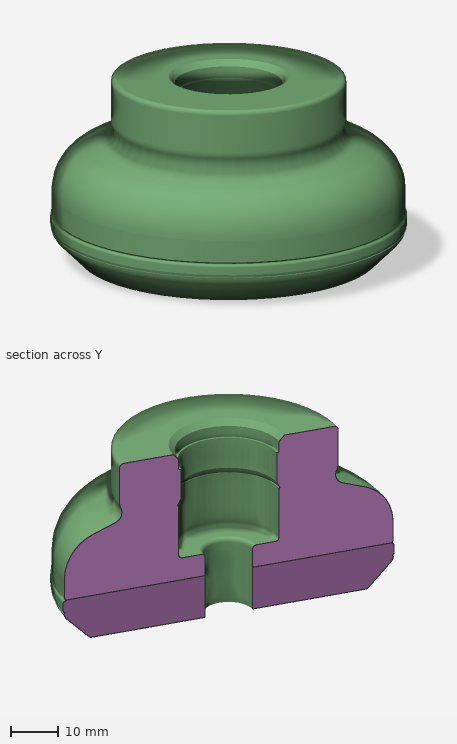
import cadquery as cq
import math

total_height = 40.0
base_radius = 37.9
joint_height = 9.85
hole_radius = 5.4

body_radius = 37.6
body_bottom_chamfer = 0.4
shoulder_start = 15.0
shoulder_round = 10.0
shoulder_slope = math.radians(20)
waist_radius = 24.5
waist_round = 2.3
head_radius = 25.0
head_bottom_round = 2.995
head_top_round = 1.0

bore_radius = 11.45
bore_mouth_chamfer = 1.3
lip_radius = 10.9
lip_top_depth = 3.8
lip_bottom_depth = 10.9
undercut_radius = 11.7
undercut_depth = 12.4
floor_height = 15.2
floor_round = 0.8
hole_edge_round = 0.9

base_top_round = 0.7
band_bottom = 7.5
skirt_slope = math.radians(20)
groove_top = 7.05
groove_bottom = 6.8
groove_radius = 37.5
skirt_radius = 37.85
skirt_end = 6.4
skirt_round = 2.995
underside_slope = math.radians(45)
bottom_edge_round = 0.75


def on_circle(center, radius, angle):
    """Point (radius, height) on a circle in the half-section plane."""
    return (center[0] + radius * math.cos(angle), center[1] + radius * math.sin(angle))


def add_arc(profile, center, radius, start, end):
    """Continue the profile with an arc; the profile must already be at its start."""
    middle = on_circle(center, radius, (start + end) / 2)
    return profile.threePointArc(middle, on_circle(center, radius, end))


def turn(profile):
    """Close a half section and revolve it about the Z axis."""
    return profile.close().revolve(360, (0, 0, 0), (0, 1, 0))


def housing_blank():
    quarter = math.pi / 2
    shoulder_center = (body_radius - shoulder_round, shoulder_start)
    shoulder_end = quarter - shoulder_slope
    shoulder_top = on_circle(shoulder_center, shoulder_round, shoulder_end)

    waist_center_radius = waist_radius + waist_round
    slope_top_radius = waist_center_radius - waist_round * math.sin(shoulder_slope)
    slope_top_height = shoulder_top[1] + (shoulder_top[0] - slope_top_radius) * math.tan(shoulder_slope)
    waist_center = (waist_center_radius, slope_top_height + waist_round * math.cos(shoulder_slope))

    arc_sum = waist_round + head_bottom_round
    flare = math.acos(1 - (head_radius - waist_radius) / arc_sum)
    head_center = (head_radius - head_bottom_round, waist_center[1] + arc_sum * math.sin(flare))

    profile = (
        cq.Workplane("XZ")
        .moveTo(0, joint_height)
        .lineTo(body_radius - body_bottom_chamfer, joint_height)
        .lineTo(body_radius, joint_height + body_bottom_chamfer)
        .lineTo(body_radius, shoulder_start)
    )
    profile = add_arc(profile, shoulder_center, shoulder_round, 0, shoulder_end)
    profile = profile.lineTo(slope_top_radius, slope_top_height)
    profile = add_arc(profile, waist_center, waist_round, math.pi + shoulder_end, math.pi - flare)
    profile = add_arc(profile, head_center, head_bottom_round, -flare, 0)
    profile = profile.lineTo(head_radius, total_height - head_top_round)
    top_center = (head_radius - head_top_round, total_height - head_top_round)
    profile = add_arc(profile, top_center, head_top_round, 0, quarter)
    return turn(profile.lineTo(0, total_height))


def housing_bore():
    lip_top = total_height - lip_top_depth
    lip_bottom = total_height - lip_bottom_depth
    undercut_height = total_height - undercut_depth
    floor_center = (bore_radius - floor_round, floor_height + floor_round)
    edge_center = (hole_radius + hole_edge_round, floor_height - hole_edge_round)
    quarter = math.pi / 2

    profile = (
        cq.Workplane("XZ")
        .moveTo(0, total_height)
        .lineTo(bore_radius + bore_mouth_chamfer, total_height)
        .lineTo(bore_radius, total_height - bore_mouth_chamfer)
        .lineTo(bore_radius, lip_top)
        .lineTo(lip_radius, lip_top)
        .lineTo(lip_radius, lip_bottom)
        .lineTo(undercut_radius, undercut_height)
        .lineTo(bore_radius, undercut_height)
        .lineTo(bore_radius, floor_center[1])
    )
    profile = add_arc(profile, floor_center, floor_round, 0, -quarter)
    profile = profile.lineTo(edge_center[0], floor_height)
    profile = add_arc(profile, edge_center, hole_edge_round, quarter, math.pi)
    return turn(profile.lineTo(hole_radius, joint_height).lineTo(0, joint_height))


def make_housing():
    return housing_blank().cut(housing_bore())


def make_base():
    quarter = math.pi / 2
    top_center = (base_radius - base_top_round, joint_height - base_top_round)
    band_end_radius = base_radius - (band_bottom - groove_top) * math.tan(skirt_slope)
    skirt_end_radius = skirt_radius - (groove_bottom - skirt_end) * math.tan(skirt_slope)

    skirt_center = (
        skirt_end_radius - skirt_round * math.cos(skirt_slope),
        skirt_end + skirt_round * math.sin(skirt_slope),
    )
    cone_top = on_circle(skirt_center, skirt_round, -underside_slope)

    cone_foot_radius = cone_top[0] - cone_top[1] / math.tan(underside_slope)
    edge_setback = bottom_edge_round * math.tan((quarter - underside_slope) / 2)
    edge_center = (cone_foot_radius - edge_setback, bottom_edge_round)
    edge_top = on_circle(edge_center, bottom_edge_round, -underside_slope)

    profile = (
        cq.Workplane("XZ")
        .moveTo(hole_radius, joint_height)
        .lineTo(top_center[0], joint_height)
    )
    profile = add_arc(profile, top_center, base_top_round, quarter, 0)
    profile = (
        profile.lineTo(base_radius, band_bottom)
        .lineTo(band_end_radius, groove_top)
        .lineTo(groove_radius, groove_top)
        .lineTo(groove_radius, groove_bottom)
        .lineTo(skirt_radius, groove_bottom)
        .lineTo(skirt_end_radius, skirt_end)
    )
    profile = add_arc(profile, skirt_center, skirt_round, -skirt_slope, -underside_slope)
    profile = profile.lineTo(*edge_top)
    profile = add_arc(profile, edge_center, bottom_edge_round, -underside_slope, -quarter)
    return turn(profile.lineTo(hole_radius, 0))


housing = make_housing()
base = make_base()

result = cq.Compound.makeCompound([housing.val(), base.val()])